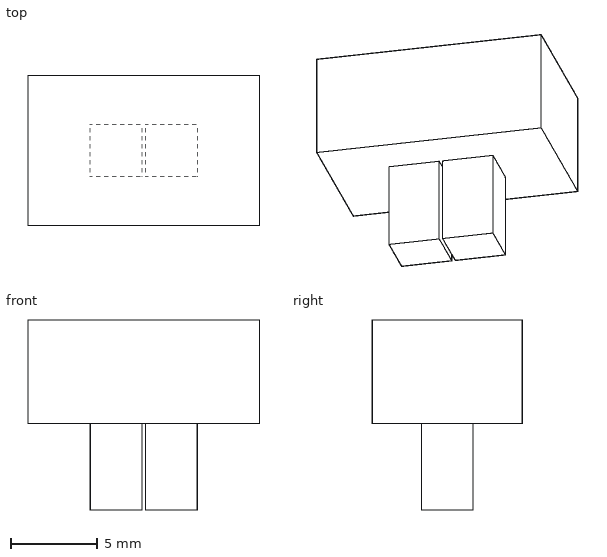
import cadquery as cq

housing_length = 13.4
housing_width = 8.7
housing_height = 6.0

leg_side = 3.0
leg_height = 5.0
leg_gap = 0.2
leg_pitch = leg_side + leg_gap


def make_housing():
    """Plain block, centred on the Z axis, with its underside at Z = 0."""
    return cq.Workplane("XY").box(
        housing_length, housing_width, housing_height, centered=(True, True, False)
    )


def make_leg(center_x):
    """Square leg hanging from the underside of the housing."""
    return cq.Workplane("XY").center(center_x, 0).rect(leg_side, leg_side).extrude(-leg_height)


housing = make_housing()
legs = [make_leg(side * leg_pitch / 2) for side in (-1, 1)]

result = cq.Compound.makeCompound([housing.val(), *[leg.val() for leg in legs]])